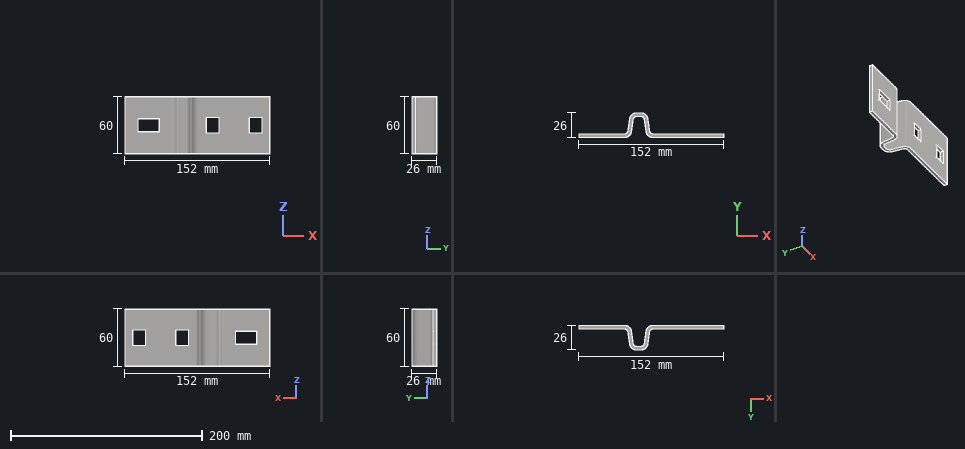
import cadquery as cq
import math

length = 152.0
height = 60.0
depth = 26.0
thickness = 4.0

rib_center_x = 62.8
crest_flat = 4.5
leg_tilt = 8.0
inner_radius = 3.5
outer_radius = inner_radius + thickness

slot_center_x = 25.0
slot_size = (22.0, 13.4)
hole_centers_x = (92.0, 137.0)
hole_size = (13.2, 16.0)

half_turn = math.tan(math.radians(90 - leg_tilt) / 2)
leg_spread = (depth - thickness) * math.tan(math.radians(leg_tilt))
crest_outer = crest_flat / 2 + outer_radius * half_turn
crest_inner = crest_outer - thickness * half_turn
foot_outer = crest_outer + leg_spread
foot_inner = crest_inner + leg_spread


def rib_corners(crest_half, foot_half, foot_y, crest_y):
    """Sharp corners of one face of the rib, from left foot to right foot."""
    return [
        (rib_center_x - foot_half, foot_y),
        (rib_center_x - crest_half, crest_y),
        (rib_center_x + crest_half, crest_y),
        (rib_center_x + foot_half, foot_y),
    ]


def round_bends(body, corners, radius):
    """Round the upright edges that pass through the given corners."""
    for x, y in corners:
        edge = cq.selectors.NearestToPointSelector((x, y, height / 2))
        body = body.edges("|Z").edges(edge).fillet(radius)
    return body


def window(center_x, size):
    """Cutter for a rectangular opening through the flat strip."""
    width, tall = size
    return cq.Workplane("XY").box(width, 2 * thickness, tall).translate(
        (center_x, thickness / 2, height / 2)
    )


front_corners = rib_corners(crest_inner, foot_inner, 0, depth - thickness)
back_corners = rib_corners(crest_outer, foot_outer, thickness, depth)
outline = [(0, 0), *front_corners, (length, 0)]
outline += [(length, thickness), *reversed(back_corners), (0, thickness)]
result = cq.Workplane("XY").polyline(outline).close().extrude(height)

front_feet = [front_corners[0], front_corners[-1]]
back_feet = [back_corners[0], back_corners[-1]]
result = round_bends(result, front_feet + back_corners[1:-1], outer_radius)
result = round_bends(result, back_feet + front_corners[1:-1], inner_radius)

result = result.cut(window(slot_center_x, slot_size))
for hole_x in hole_centers_x:
    result = result.cut(window(hole_x, hole_size))